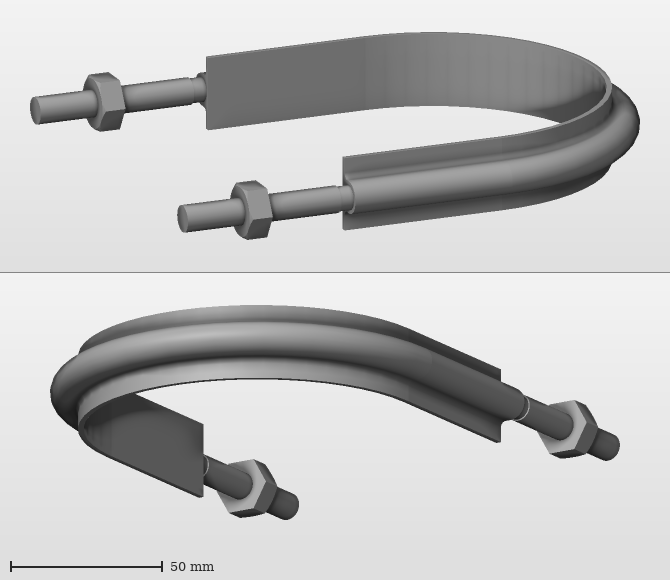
import cadquery as cq
import math

bend_radius = 63.0
overall_length = 184.2

core_diameter = 8.3
thread_diameter = 9.2
thread_length = 54.9

bead_radius = 5.5
strap_height = 25.0
strap_thickness = 1.8
root_fillet = 1.8
exposed_length = 59.5

nut_across_flats = 17.0
nut_thickness = 7.7
nut_to_rod_end = 20.5
nut_chamfer_angle = 30.0

rod_end_y = bend_radius + bead_radius - overall_length
thread_start_y = rod_end_y + thread_length
strap_end_y = rod_end_y + exposed_length
strap_inner_x = bend_radius - bead_radius
strap_outer_x = strap_inner_x + strap_thickness
leg_sides = (-1, 1)


def plane_across_leg(side, y):
    """Plane normal to +Y, centred on one rod leg; local +X points outward."""
    return cq.Plane(origin=(side * bend_radius, y, 0), xDir=(side, 0, 0), normal=(0, 1, 0))


def u_path(end_y):
    """Rod centreline: leg, half-circle bend, leg."""
    return (
        cq.Workplane("XY")
        .moveTo(bend_radius, end_y)
        .lineTo(bend_radius, 0)
        .threePointArc((0, bend_radius), (-bend_radius, 0))
        .lineTo(-bend_radius, end_y)
    )


def u_bar(diameter, end_y):
    """Round bar bent along the centreline."""
    section = cq.Workplane(plane_across_leg(1, end_y)).circle(diameter / 2)
    return section.sweep(u_path(end_y))


def make_rod():
    rod = u_bar(core_diameter, thread_start_y)
    for side in leg_sides:
        thread = (
            cq.Workplane(plane_across_leg(side, rod_end_y))
            .circle(thread_diameter / 2)
            .extrude(thread_length)
        )
        rod = rod.union(thread)
    return rod


def make_strap():
    """Band and filleted bead swept as one profile, then bored for the rod."""
    inner = strap_inner_x - bend_radius
    outer = strap_outer_x - bend_radius
    half_height = strap_height / 2
    fillet_edge = bead_radius + root_fillet
    fillet_top = outer + root_fillet
    arc_mid = root_fillet * (1 - math.sqrt(0.5))
    profile = (
        cq.Workplane(plane_across_leg(1, strap_end_y))
        .moveTo(inner, -half_height)
        .lineTo(outer, -half_height)
        .lineTo(outer, -fillet_edge)
        .threePointArc((outer + arc_mid, -bead_radius - arc_mid), (fillet_top, -bead_radius))
        .lineTo(0, -bead_radius)
        .threePointArc((bead_radius, 0), (0, bead_radius))
        .lineTo(fillet_top, bead_radius)
        .threePointArc((outer + arc_mid, bead_radius + arc_mid), (outer, fillet_edge))
        .lineTo(outer, half_height)
        .lineTo(inner, half_height)
        .close()
    )
    return profile.sweep(u_path(strap_end_y)).cut(u_bar(core_diameter, strap_end_y))


def make_nut(side):
    """Nut on one leg, with its corners chamfered on the face towards the rod end."""
    corner_radius = nut_across_flats / math.sqrt(3)
    face_radius = nut_across_flats / 2
    chamfer_height = (corner_radius - face_radius) * math.tan(math.radians(nut_chamfer_angle))
    face_plane = plane_across_leg(side, rod_end_y + nut_to_rod_end)
    hexagon = cq.Workplane(face_plane).polygon(6, 2 * corner_radius).extrude(nut_thickness)
    chamfer_envelope = (
        cq.Workplane("XY", origin=face_plane.origin.toTuple())
        .lineTo(face_radius, 0)
        .lineTo(corner_radius, chamfer_height)
        .lineTo(corner_radius, nut_thickness)
        .lineTo(0, nut_thickness)
        .close()
        .revolve(360, (0, 0, 0), (0, 1, 0))
    )
    bore = cq.Workplane(face_plane).circle(thread_diameter / 2).extrude(nut_thickness)
    return hexagon.intersect(chamfer_envelope).cut(bore)


rod = make_rod()
strap = make_strap()
nuts = [make_nut(side) for side in leg_sides]

bodies = [rod, strap, *nuts]

result = cq.Compound.makeCompound([body.solids().val() for body in bodies])